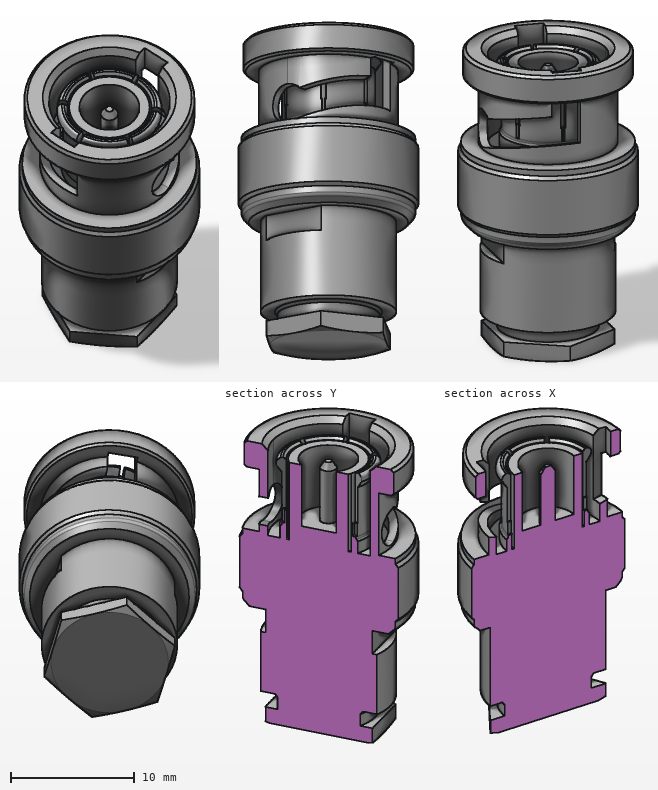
import cadquery as cq
import math

TOTAL_HEIGHT = 25.25
NUT_HEIGHT = 1.45
STEM_TOP = 2.5
BODY_BOTTOM = 2.75
FLATS_BOTTOM = 8.2
COLLAR_BOTTOM = 10.25
COLLAR_TOP = 17.25
FLANGE_HEIGHT = 2.4
FLANGE_BOTTOM = TOTAL_HEIGHT - FLANGE_HEIGHT

NUT_ACROSS_FLATS = 9.5
NUT_CORNER_RADIUS = NUT_ACROSS_FLATS / 2 / math.cos(math.radians(30))
NUT_CHAMFER_DROP = 0.2
STEM_RADIUS = 4.15
STEM_FLARE_RADIUS = 4.35
BODY_RADIUS = 5.5

COLLAR_RADIUS = 7.3
COLLAR_RIM_RADIUS = 7.06
COLLAR_GRIP_BOTTOM = 11.8
COLLAR_GRIP_TOP = 16.45
COLLAR_GRIP_CHAMFER = 0.3
COLLAR_BOTTOM_RADIUS = 6.45
COLLAR_BEVEL_RADIUS = 6.9
COLLAR_BEVEL_TOP = 10.7
COLLAR_ROUND_TOP = 11.0
NECK_RADIUS = 5.65
FLANGE_RADIUS = 6.9
FLANGE_TOP_CHAMFER = 0.25
FLANGE_BOTTOM_CHAMFER = 0.2
BORE_RADIUS = 4.9
BORE_FLOOR = 17.05
MOUTH_CHAMFER = 0.5

TRACK_WIDTH = 2.4
TRACK_PITCH_ANGLE = 15
ENTRY_ANGLE = -4
ENTRY_DEPTH_RADIUS = 5.9
LATCH_RADIUS = 1.6
LATCH_HEIGHT = 19.05

RING_BASE_TOP = 18.5
RING_BASE_EDGE_TOP = 18.3
RING_BASE_EDGE_BOTTOM = 18.12
RING_BASE_TOP_RADIUS = 3.83
RING_BASE_RADIUS = 3.95
RING_BORE_RADIUS = 3.42
RING_OUTER_RADIUS = 3.77
RING_BULGE_RADIUS = 4.25
RING_TOP = 24.25
RING_TOP_INNER_RADIUS = 3.65
RING_TOP_OUTER_RADIUS = 3.85
RING_BULGE_BOTTOM = 22.9
RING_BULGE_HEIGHT = 23.6
RING_SLOT_COUNT = 6
RING_SLOT_WIDTH = 0.42
RING_SLOT_NARROW_WIDTH = 0.25
RING_SLOT_STEP = 19.65

INSULATOR_RADIUS = 3.25
INSULATOR_BORE_RADIUS = 2.43
INSULATOR_TOP = 24.05
INSULATOR_FLOOR = 18.5
PIN_RADIUS = 0.7
PIN_TIP_RADIUS = 0.3
PIN_TOP = 23.85
PIN_CONE_HEIGHT = 0.6


def disc(radius, bottom, top):
    """Upright cylinder on the Z axis."""
    return cq.Workplane("XY").workplane(offset=bottom).circle(radius).extrude(top - bottom)


def slot_block(width, start, end, bottom, top):
    """Upright block centred on the Y axis, from y = start to y = end."""
    block = cq.Workplane("XY").box(width, end - start, top - bottom, centered=(True, False, False))
    return block.translate((0, start, bottom))


def about_axis(shape, angle):
    return shape.rotate((0, 0, 0), (0, 0, 1), angle)


def revolve_profile(profile):
    """Solid of revolution about Z from an open profile in the XZ plane."""
    return profile.close().revolve(360, (0, 0, 0), (0, 1, 0))


def make_nut():
    """Hexagon with corners toward +Y and -Y, bevelled underneath by a shallow cone."""
    nut = (
        cq.Workplane("XY")
        .polygon(6, 2 * NUT_CORNER_RADIUS)
        .extrude(NUT_HEIGHT)
        .rotate((0, 0, 0), (0, 0, 1), 90)
    )
    flat_radius = NUT_ACROSS_FLATS / 2
    slope = NUT_CHAMFER_DROP / (NUT_CORNER_RADIUS - flat_radius)
    wide_radius = flat_radius + NUT_HEIGHT / slope
    corner_cone = revolve_profile(
        cq.Workplane("XZ").lineTo(flat_radius, 0).lineTo(wide_radius, NUT_HEIGHT).lineTo(0, NUT_HEIGHT)
    )
    return nut.intersect(corner_cone)


def make_body():
    """Nut stem and round body, with two wrench flats as wide apart as the nut's."""
    body = revolve_profile(
        cq.Workplane("XZ")
        .lineTo(STEM_RADIUS, 0)
        .lineTo(STEM_RADIUS, STEM_TOP)
        .lineTo(STEM_FLARE_RADIUS, BODY_BOTTOM)
        .lineTo(BODY_RADIUS, BODY_BOTTOM)
        .lineTo(BODY_RADIUS, COLLAR_BOTTOM)
        .lineTo(0, COLLAR_BOTTOM)
    )
    flats_height = COLLAR_BOTTOM - FLATS_BOTTOM
    for side in (-1, 1):
        flat_centre = side * (NUT_ACROSS_FLATS + BODY_RADIUS) / 2
        flat = (
            cq.Workplane("XY")
            .box(BODY_RADIUS, 2 * BODY_RADIUS, flats_height, centered=(True, True, False))
            .translate((flat_centre, 0, FLATS_BOTTOM))
        )
        body = body.cut(flat)
    return body


def make_sleeve_blank():
    """Collar, neck and flange with their bore, before the bayonet tracks are cut."""
    mouth_radius = BORE_RADIUS + MOUTH_CHAMFER
    return revolve_profile(
        cq.Workplane("XZ")
        .moveTo(0, COLLAR_BOTTOM)
        .lineTo(COLLAR_BOTTOM_RADIUS, COLLAR_BOTTOM)
        .lineTo(COLLAR_BEVEL_RADIUS, COLLAR_BEVEL_TOP)
        .tangentArcPoint((COLLAR_RIM_RADIUS, COLLAR_ROUND_TOP), relative=False)
        .lineTo(COLLAR_RIM_RADIUS, COLLAR_GRIP_BOTTOM - COLLAR_GRIP_CHAMFER)
        .lineTo(COLLAR_RADIUS, COLLAR_GRIP_BOTTOM)
        .lineTo(COLLAR_RADIUS, COLLAR_GRIP_TOP)
        .lineTo(COLLAR_RIM_RADIUS, COLLAR_GRIP_TOP + COLLAR_GRIP_CHAMFER)
        .lineTo(COLLAR_RIM_RADIUS, COLLAR_TOP)
        .lineTo(NECK_RADIUS, COLLAR_TOP)
        .lineTo(NECK_RADIUS, FLANGE_BOTTOM)
        .lineTo(FLANGE_RADIUS - FLANGE_BOTTOM_CHAMFER, FLANGE_BOTTOM)
        .lineTo(FLANGE_RADIUS, FLANGE_BOTTOM + FLANGE_BOTTOM_CHAMFER)
        .lineTo(FLANGE_RADIUS, TOTAL_HEIGHT - FLANGE_TOP_CHAMFER)
        .lineTo(FLANGE_RADIUS - FLANGE_TOP_CHAMFER, TOTAL_HEIGHT)
        .lineTo(mouth_radius, TOTAL_HEIGHT)
        .lineTo(BORE_RADIUS, TOTAL_HEIGHT - MOUTH_CHAMFER)
        .lineTo(BORE_RADIUS, BORE_FLOOR)
        .lineTo(0, BORE_FLOOR)
    )


def inclined_block(thickness, end):
    """Block over -Y, from the sleeve's -X side to x = end, its underside on the ramp plane.

    The ramp plane climbs toward -Y and is tangent to the underside of the latch hole.
    """
    return (
        cq.Workplane("XY")
        .box(FLANGE_RADIUS + end, 2 * NECK_RADIUS, thickness, centered=False)
        .translate((-FLANGE_RADIUS, -2 * NECK_RADIUS, -LATCH_RADIUS))
        .rotate((0, 0, 0), (1, 0, 0), -TRACK_PITCH_ANGLE)
        .translate((0, 0, LATCH_HEIGHT))
    )


def make_bayonet_track():
    """Entry slot at -Y, sloping ramp, and round latch hole at -X."""
    entry_column = slot_block(TRACK_WIDTH, -ENTRY_DEPTH_RADIUS, -RING_BULGE_RADIUS, COLLAR_TOP, TOTAL_HEIGHT)
    entry = about_axis(entry_column, ENTRY_ANGLE).intersect(inclined_block(TOTAL_HEIGHT, FLANGE_RADIUS))
    ramp = inclined_block(TRACK_WIDTH, 0)
    latch = cq.Workplane("YZ").center(0, LATCH_HEIGHT).circle(LATCH_RADIUS).extrude(-FLANGE_RADIUS)
    return entry.union(ramp).union(latch)


def make_sleeve():
    """Sleeve with two bayonet tracks half a turn apart."""
    sleeve = make_sleeve_blank()
    track = make_bayonet_track()
    for angle in (0, 180):
        sleeve = sleeve.cut(about_axis(track, angle))
    return sleeve


def make_contact_ring():
    """Slotted spring ring whose fingers bulge near the top."""
    chamfer = RING_TOP_INNER_RADIUS - RING_BORE_RADIUS
    bulge_mid_radius = RING_TOP_OUTER_RADIUS + (RING_BULGE_RADIUS - RING_TOP_OUTER_RADIUS) * math.sqrt(0.5)
    bulge_mid_height = RING_BULGE_HEIGHT + (RING_TOP - RING_BULGE_HEIGHT) * math.sqrt(0.5)
    ring = revolve_profile(
        cq.Workplane("XZ")
        .moveTo(RING_BORE_RADIUS, BORE_FLOOR)
        .lineTo(RING_BASE_RADIUS, BORE_FLOOR)
        .lineTo(RING_BASE_RADIUS, RING_BASE_EDGE_BOTTOM)
        .lineTo(RING_BASE_TOP_RADIUS, RING_BASE_EDGE_TOP)
        .lineTo(RING_OUTER_RADIUS, RING_BASE_TOP)
        .lineTo(RING_OUTER_RADIUS, RING_BULGE_BOTTOM)
        .lineTo(RING_BULGE_RADIUS, RING_BULGE_HEIGHT)
        .threePointArc((bulge_mid_radius, bulge_mid_height), (RING_TOP_OUTER_RADIUS, RING_TOP))
        .lineTo(RING_TOP_INNER_RADIUS, RING_TOP)
        .lineTo(RING_BORE_RADIUS, RING_TOP - chamfer)
    )
    wide = slot_block(RING_SLOT_WIDTH, 0, BORE_RADIUS, RING_SLOT_STEP, RING_TOP)
    narrow = slot_block(RING_SLOT_NARROW_WIDTH, 0, BORE_RADIUS, RING_BASE_TOP, RING_TOP)
    slot = wide.union(narrow)
    for index in range(RING_SLOT_COUNT):
        ring = ring.cut(about_axis(slot, index * 360 / RING_SLOT_COUNT))
    return ring


def make_insulator():
    insulator = disc(INSULATOR_RADIUS, BORE_FLOOR, INSULATOR_TOP)
    return insulator.cut(disc(INSULATOR_BORE_RADIUS, INSULATOR_FLOOR, INSULATOR_TOP))


def make_pin():
    return revolve_profile(
        cq.Workplane("XZ")
        .moveTo(0, BORE_FLOOR)
        .lineTo(PIN_RADIUS, BORE_FLOOR)
        .lineTo(PIN_RADIUS, PIN_TOP - PIN_CONE_HEIGHT)
        .lineTo(PIN_TIP_RADIUS, PIN_TOP)
        .lineTo(0, PIN_TOP)
    )


result = make_nut().union(make_body()).union(make_sleeve())
for inner_part in (make_contact_ring(), make_insulator(), make_pin()):
    result = result.union(inner_part)